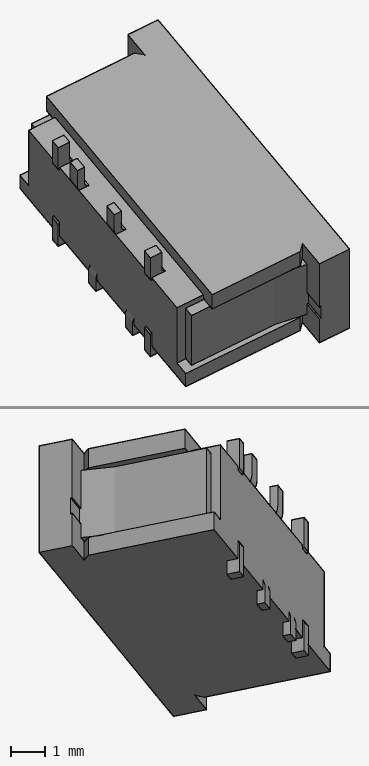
import cadquery as cq

depth = 5.3
body_height = 3.6
pin_overhang = 0.45
body_front = 0.05

flange_width = 10.4
flange_thickness = 1.05
flange_front = depth - flange_thickness
groove_depth = 0.05
groove_bottom = 1.1
groove_height = 0.52

body_width = 9.0
floor_height = 0.6
roof_front = 0.97
roof_bottom = 2.95
core_width = 8.05
core_top = 3.12
corner_chamfer = 0.22

clip_front = 0.35
clip_bottom = 0.63
clip_top = 2.9
clip_width = 8.7
clip_flare_start = 3.25
clip_flare_width = 9.06

retainer_positions = (-2.5, 2.5)
retainer_width = 0.32
retainer_thickness = 0.4
retainer_straight = 1.0
retainer_outer_bevel = 0.06
retainer_inner_bevel = 0.15
retainer_tail_gap = 0.96

contact_width = 0.4
contact_thickness = 0.25
top_contact_positions = (-1.5, 0.5)
top_contact_bend_start = 3.345
top_contact_inner_radius = 0.24
top_contact_outer_radius = top_contact_inner_radius + contact_thickness
bottom_contact_positions = (-0.5, 1.5)
bottom_contact_straight_top = 0.16
bottom_contact_top = 0.94

tail_end = 1.0

top_tip = body_height + pin_overhang
bottom_tip = -pin_overhang


def block(width, y_start, y_end, z_start, z_end):
    """Box centred on X."""
    box = cq.Workplane("XY").box(width, y_end - y_start, z_end - z_start, centered=(True, False, False))
    return box.translate((0, y_start, z_start))


def plate(y_start, z_start, z_end):
    """Full-width plate whose rear vertical corners are chamfered where it meets the flange."""
    return block(body_width, y_start, flange_front, z_start, z_end).edges("|Z and >Y").chamfer(corner_chamfer)


def make_flange():
    """Rear plate with a shallow horizontal groove across its front face on each side of the clips."""
    flange = block(flange_width, flange_front, depth, 0, body_height)
    groove_length = (flange_width - clip_flare_width) / 2
    for side in (-1, 1):
        groove = block(
            groove_length,
            flange_front,
            flange_front + groove_depth,
            groove_bottom,
            groove_bottom + groove_height,
        )
        groove_x = side * (flange_width - groove_length) / 2
        flange = flange.cut(groove.translate((groove_x, 0, 0)))
    return flange


def make_clips():
    """Both side clips as one symmetric block running through the core."""
    half = clip_width / 2
    half_flare = clip_flare_width / 2
    outline = [
        (-half, clip_front),
        (half, clip_front),
        (half, clip_flare_start),
        (half_flare, flange_front),
        (-half_flare, flange_front),
        (-half, clip_flare_start),
    ]
    clips = cq.Workplane("XY").polyline(outline).close().extrude(clip_top - clip_bottom)
    return clips.translate((0, 0, clip_bottom))


def place_pins(profile, width, positions):
    """Extrude a YZ profile into one pin at each X position."""
    pin = profile.close().extrude(width / 2, both=True)
    pins = cq.Workplane("XY")
    for x in positions:
        pins = pins.add(pin.translate((x, 0, 0)))
    return pins.combine()


def make_retainers(tip, direction):
    """L-shaped retaining pins; direction is the sign of Z from the tip towards the bend."""
    outer_corner = retainer_straight + retainer_outer_bevel
    outline = [
        (0, 0),
        (0, retainer_straight),
        (retainer_outer_bevel, outer_corner),
        (tail_end, outer_corner),
        (tail_end, retainer_tail_gap),
        (retainer_thickness + retainer_inner_bevel, retainer_tail_gap),
        (retainer_thickness, retainer_tail_gap - retainer_inner_bevel),
        (retainer_thickness, 0),
    ]
    points = [(y, tip + direction * distance) for y, distance in outline]
    return place_pins(cq.Workplane("YZ").polyline(points), retainer_width, retainer_positions)


def make_top_contacts():
    """L-shaped contact pins whose bend is a pair of concentric arcs."""
    tail_bottom = top_contact_bend_start - top_contact_outer_radius
    tail_top = tail_bottom + contact_thickness
    bend_depth = top_contact_outer_radius
    profile = (
        cq.Workplane("YZ")
        .moveTo(0, top_tip)
        .lineTo(0, top_contact_bend_start)
        .radiusArc((bend_depth, tail_bottom), -top_contact_outer_radius)
        .lineTo(tail_end, tail_bottom)
        .lineTo(tail_end, tail_top)
        .lineTo(bend_depth, tail_top)
        .radiusArc((contact_thickness, top_contact_bend_start), top_contact_inner_radius)
        .lineTo(contact_thickness, top_tip)
    )
    return place_pins(profile, contact_width, top_contact_positions)


def make_bottom_contacts():
    """Straight contact pins whose front tapers back into the body above the underside."""
    outline = [
        (0, bottom_tip),
        (0, bottom_contact_straight_top),
        (contact_thickness, bottom_contact_top),
        (contact_thickness, bottom_tip),
    ]
    return place_pins(cq.Workplane("YZ").polyline(outline), contact_width, bottom_contact_positions)


result = (
    make_flange()
    .union(plate(body_front, 0, floor_height))
    .union(plate(roof_front, roof_bottom, body_height))
    .union(block(core_width, body_front, flange_front, 0, core_top))
    .union(make_clips())
    .union(make_retainers(top_tip, -1))
    .union(make_retainers(bottom_tip, 1))
    .union(make_top_contacts())
    .union(make_bottom_contacts())
)